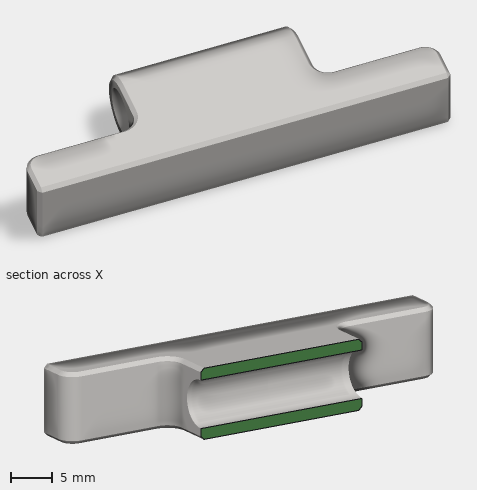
import cadquery as cq

length = 53.0
width = 16.5
thickness = 9.0

bar_width = 5.7
barrel_length = 23.0
hole_diameter = 6.05
corner_radius = 2.0
edge_chamfer = 0.5

nose_radius = thickness / 2
bar_face_x = width - bar_width


def block(x_start, x_end, y_size):
    """Full-thickness block centred on Y and Z."""
    return cq.Workplane("XY").box(x_end - x_start, y_size, thickness).translate(
        ((x_start + x_end) / 2, 0, 0)
    )


def cylinder_along_y(diameter, y_size):
    """Cylinder on the barrel axis, centred on Y."""
    return (
        cq.Workplane("XZ")
        .center(nose_radius, 0)
        .circle(diameter / 2)
        .extrude(y_size / 2, both=True)
    )


bar = block(bar_face_x, width, length)
barrel = block(nose_radius, width, barrel_length).union(cylinder_along_y(thickness, barrel_length))
body = bar.union(barrel)

face_corners = cq.selectors.BoxSelector(
    (bar_face_x - edge_chamfer, -length, -thickness),
    (bar_face_x + edge_chamfer, length, thickness),
)
body = body.edges("|Z").edges(face_corners).fillet(corner_radius)

nose_seams = cq.selectors.BoxSelector(
    (nose_radius - edge_chamfer, -edge_chamfer, -thickness),
    (nose_radius + edge_chamfer, edge_chamfer, thickness),
)
sharp_rims = cq.selectors.SubtractSelector(
    cq.selectors.StringSyntaxSelector("(not |Z) or (|Z and >X)"), nose_seams
)
body = body.edges(sharp_rims).chamfer(edge_chamfer)

result = body.cut(cylinder_along_y(hole_diameter, length))